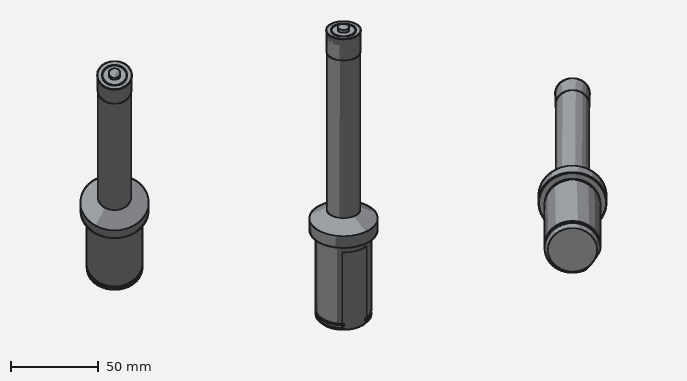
import cadquery as cq


shank_radius = 16.0
shank_end = -57.7
neck_radius = 15.5
neck_length = 1.6

groove_radius = 15.5
groove_top = 5.0
groove_bottom = 3.8
band_top = 2.7
band_bottom = 2.2
end_chamfer_depth = 2.0

flat_offset = 14.0
flat_top = -4.8

collar_radius = 19.5
collar_chamfer = 0.5
collar_top = 8.3
cone_top = 14.3

stem_radius = 9.65
sleeve_bottom = 119.5
sleeve_radius = 9.75

head_bottom = 129.5
head_radius = 10.0
head_top = 134.0
rim_chamfer = 0.3

face_groove_outer = 7.2
face_groove_inner = 6.8
face_groove_depth = 0.3

button_radius = 3.3
button_side_top = 136.0
button_top = 137.3


def make_body():
    """Turned body, from the shank end to the tip of the button."""
    outline = (
        cq.Workplane("XZ")
        .moveTo(0, shank_end)
        .lineTo(shank_radius - end_chamfer_depth, shank_end)
        .lineTo(shank_radius, shank_end + band_bottom)
        .lineTo(shank_radius, shank_end + band_top)
        .lineTo(groove_radius, shank_end + groove_bottom)
        .lineTo(groove_radius, shank_end + groove_top)
        .lineTo(shank_radius, shank_end + groove_top)
        .lineTo(shank_radius, -neck_length)
        .lineTo(neck_radius, -neck_length)
        .lineTo(neck_radius, 0)
        .lineTo(collar_radius - collar_chamfer, 0)
        .lineTo(collar_radius, collar_chamfer)
        .lineTo(collar_radius, collar_top)
        .lineTo(stem_radius, cone_top)
        .lineTo(stem_radius, sleeve_bottom)
        .lineTo(sleeve_radius, sleeve_bottom)
        .lineTo(sleeve_radius, head_bottom)
        .lineTo(head_radius, head_top - rim_chamfer)
        .lineTo(head_radius - rim_chamfer, head_top)
        .lineTo(face_groove_outer, head_top)
        .lineTo(face_groove_outer, head_top - face_groove_depth)
        .lineTo(face_groove_inner, head_top - face_groove_depth)
        .lineTo(face_groove_inner, head_top)
        .lineTo(button_radius, head_top)
        .lineTo(button_radius, button_side_top)
        .lineTo(0, button_top)
        .close()
    )
    return outline.revolve(360, (0, 0, 0), (0, 1, 0))


def make_flat_cutter():
    """Block that takes the +Y side off the shank, up to a step below the collar."""
    return (
        cq.Workplane("XY")
        .box(
            2 * shank_radius,
            shank_radius,
            flat_top - shank_end,
            centered=(True, False, False),
        )
        .translate((0, flat_offset, shank_end))
    )


result = make_body().cut(make_flat_cutter())